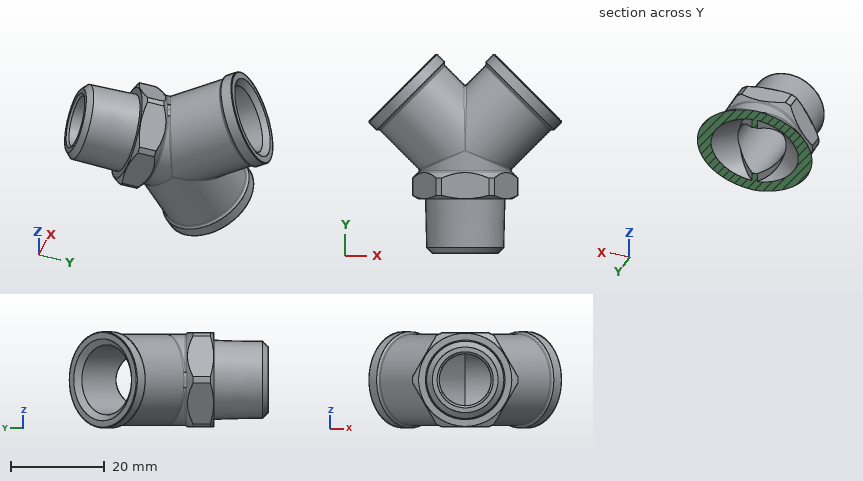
import cadquery as cq
import math


BRANCH_ANGLE = 45.0
BODY_RADIUS = 9.75

BRANCH_LENGTH = 18.95
COLLAR_RADIUS = 10.25
COLLAR_START = 16.45
COLLAR_CHAMFER = 0.15
BRANCH_BORE_RADIUS = 7.45
MOUTH_RADIUS = 8.73
MOUTH_DEPTH = 1.2
COLLAR_FILLET = 0.35

HEX_ACROSS_FLATS = 20.08
HEX_CORNER_RADIUS = 11.23
HEX_END = 10.3
HEX_FACE_RADIUS = 9.9
HEX_END_CHAMFER = 0.75
HEX_SHOULDER = 5.85

STEM_LENGTH = 21.85
STEM_ROOT_RADIUS = 8.47
STEM_TIP_RADIUS = 8.2
STEM_TIP_CHAMFER = 1.23
STEM_BORE_RADIUS = 5.5
STEM_BORE_CHAMFER = 0.45

JOINT_FILLET = 0.45

SELECT_TOLERANCE = 0.05


def revolve_along_y(points):
    """Revolve a closed (radius, distance) outline about the Y axis."""
    return cq.Workplane("XY").polyline(points).close().revolve(360, (0, 0), (0, 1))


def edges_near_height(y, tolerance):
    """Select the edges whose centre lies within a tolerance of a Y position."""
    reach = 2 * HEX_ACROSS_FLATS
    return cq.selectors.BoxSelector((-reach, y - tolerance, -reach), (reach, y + tolerance, reach))


def aim_branch(solid, side):
    """Turn a solid lying along +Y onto the right (1) or left (-1) branch axis."""
    return solid.rotate((0, 0, 0), (0, 0, 1), -side * (90 - BRANCH_ANGLE))


def branch_wedge(side):
    """Region owned by one branch, bounded by the two mitre planes."""
    reach = 2 * STEM_LENGTH
    seam_drop = reach * math.tan(math.radians(BRANCH_ANGLE / 2))
    outline = [(0, 0), (side * reach, -seam_drop), (side * reach, reach), (0, reach)]
    return cq.Workplane("XY").polyline(outline).close().extrude(reach, both=True)


def branch_body(side):
    collar_step = COLLAR_RADIUS - BODY_RADIUS
    profile = [
        (0, -BRANCH_LENGTH),
        (BODY_RADIUS, -BRANCH_LENGTH),
        (BODY_RADIUS, COLLAR_START - collar_step),
        (COLLAR_RADIUS, COLLAR_START),
        (COLLAR_RADIUS, BRANCH_LENGTH - COLLAR_CHAMFER),
        (COLLAR_RADIUS - COLLAR_CHAMFER, BRANCH_LENGTH),
        (0, BRANCH_LENGTH),
    ]
    body = revolve_along_y(profile)
    body = body.edges(edges_near_height(COLLAR_START - collar_step, SELECT_TOLERANCE)).fillet(COLLAR_FILLET)
    return aim_branch(body, side).intersect(branch_wedge(side))


def branch_bore(side):
    profile = [
        (0, 0),
        (BRANCH_BORE_RADIUS, 0),
        (BRANCH_BORE_RADIUS, BRANCH_LENGTH - MOUTH_DEPTH),
        (MOUTH_RADIUS, BRANCH_LENGTH),
        (0, BRANCH_LENGTH),
    ]
    return aim_branch(revolve_along_y(profile), side)


def stem_neck():
    """Body-sized cylinder from the origin into the hexagon, less the branch regions."""
    neck = cq.Workplane("XZ").circle(BODY_RADIUS).extrude(HEX_SHOULDER)
    return neck.cut(branch_wedge(1)).cut(branch_wedge(-1))


def hexagon():
    slope_end = HEX_SHOULDER - (HEX_CORNER_RADIUS - BODY_RADIUS)
    prism = (
        cq.Workplane("XZ", origin=(0, -slope_end, 0))
        .polygon(6, HEX_ACROSS_FLATS / math.cos(math.pi / 6))
        .extrude(HEX_END - slope_end)
    )
    envelope = revolve_along_y([
        (0, -slope_end),
        (BODY_RADIUS, -slope_end),
        (HEX_CORNER_RADIUS, -HEX_SHOULDER),
        (HEX_CORNER_RADIUS, HEX_END_CHAMFER - HEX_END),
        (HEX_FACE_RADIUS, -HEX_END),
        (0, -HEX_END),
    ])
    return prism.intersect(envelope)


def stem():
    return revolve_along_y([
        (0, -HEX_END),
        (STEM_ROOT_RADIUS, -HEX_END),
        (STEM_TIP_RADIUS, STEM_TIP_CHAMFER - STEM_LENGTH),
        (STEM_TIP_RADIUS - STEM_TIP_CHAMFER, -STEM_LENGTH),
        (0, -STEM_LENGTH),
    ])


def stem_bore():
    return revolve_along_y([
        (0, 0),
        (STEM_BORE_RADIUS, 0),
        (STEM_BORE_RADIUS, STEM_BORE_CHAMFER - STEM_LENGTH),
        (STEM_BORE_RADIUS + STEM_BORE_CHAMFER, -STEM_LENGTH),
        (0, -STEM_LENGTH),
    ])


body = branch_body(1).union(branch_body(-1)).union(stem_neck()).union(hexagon())

seam_bottom = -BODY_RADIUS * math.tan(math.radians(BRANCH_ANGLE / 2))
crotch = BODY_RADIUS / math.sin(math.radians(BRANCH_ANGLE))
seam_reach = BODY_RADIUS + SELECT_TOLERANCE
seams = cq.selectors.BoxSelector(
    (-seam_reach, seam_bottom - SELECT_TOLERANCE, -seam_reach),
    (seam_reach, crotch + SELECT_TOLERANCE, seam_reach),
    boundingbox=True,
)
slope_root = HEX_CORNER_RADIUS - BODY_RADIUS - HEX_SHOULDER
body = body.edges(seams).fillet(JOINT_FILLET)
body = body.edges(edges_near_height(slope_root, SELECT_TOLERANCE)).fillet(JOINT_FILLET)
result = body.union(stem())
for side in (1, -1):
    result = result.cut(branch_bore(side))
result = result.cut(stem_bore())